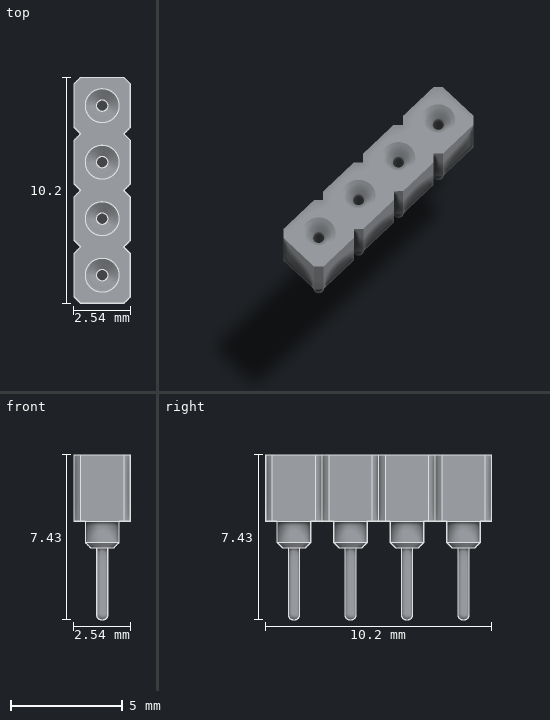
import cadquery as cq

contact_count = 4
strip_length = 10.16
pitch = strip_length / contact_count
housing_width = pitch
housing_height = 3.0
corner_cut = 0.29

collar_diameter = 1.52
collar_height = 1.2
collar_chamfer = 0.25

pin_diameter = 0.51
overall_height = 7.43
pin_tip_z = housing_height - overall_height
tip_radius = 0.23

funnel_diameter = 1.52
funnel_depth = 0.55
bore_diameter = 0.51
bore_depth = housing_height


def housing_segment():
    """One octagonal cell; neighbouring cells meet in V-notches."""
    return (
        cq.Workplane("XY")
        .rect(housing_width, pitch)
        .extrude(housing_height)
        .edges("|Z")
        .chamfer(corner_cut)
    )


def turned_contact():
    """Collar with a chamfered lower rim, carrying a pin with a rounded tip."""
    collar = (
        cq.Workplane("XY")
        .circle(collar_diameter / 2)
        .extrude(-collar_height)
        .faces("<Z")
        .chamfer(collar_chamfer)
    )
    pin = (
        cq.Workplane("XY")
        .circle(pin_diameter / 2)
        .extrude(pin_tip_z)
        .faces("<Z")
        .edges()
        .fillet(tip_radius)
    )
    return collar.union(pin)


def socket_opening():
    """Conical lead-in at the housing top, continuing as a blind bore."""
    bore_radius = bore_diameter / 2
    bore_floor_z = housing_height - bore_depth
    return (
        cq.Workplane("XZ")
        .moveTo(0, bore_floor_z)
        .lineTo(bore_radius, bore_floor_z)
        .lineTo(bore_radius, housing_height - funnel_depth)
        .lineTo(funnel_diameter / 2, housing_height)
        .lineTo(0, housing_height)
        .close()
        .revolve(360, (0, 0), (0, 1))
    )


cell = housing_segment().union(turned_contact()).cut(socket_opening())

result = cq.Workplane("XY")
for index in range(contact_count):
    contact_y = (index - (contact_count - 1) / 2) * pitch
    result = result.union(cell.translate((0, contact_y, 0)))